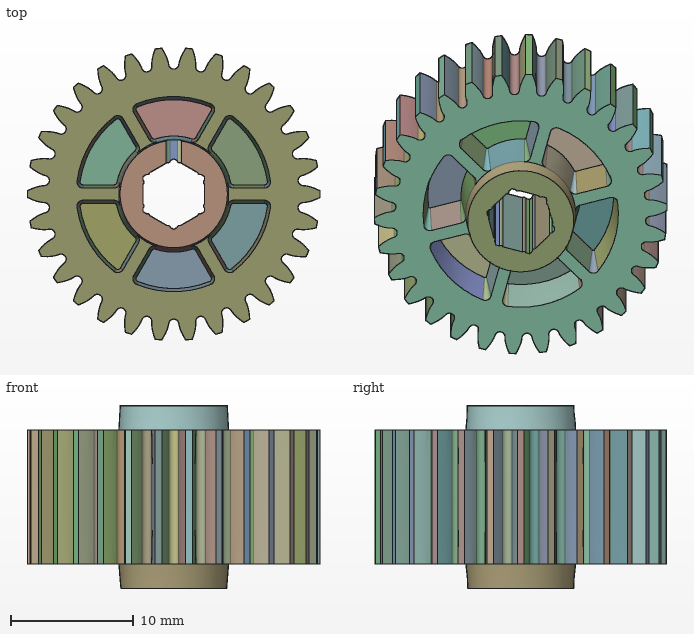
import cadquery as cq
import math

tooth_module = 0.75
tooth_count = 30
pressure_angle = math.radians(20)
dedendum_factor = 1.33
flank_point_count = 5

pitch_radius = tooth_module * tooth_count / 2
base_radius = pitch_radius * math.cos(pressure_angle)
tip_radius = pitch_radius + tooth_module
root_radius = pitch_radius - dedendum_factor * tooth_module
tooth_pitch_angle = 2 * math.pi / tooth_count

face_width = 11.0
hub_projection = 2.0
gear_top = face_width / 2
hub_top = gear_top + hub_projection

hub_radius = 4.5
upper_draft = 3.0
lower_draft = 4.5
pocket_outer_radius = 8.0
pocket_count = 6
pocket_corner_radius = 0.5
spoke_width = 1.0
web_thickness = 1.0
pocket_depth = (face_width - web_thickness) / 2

bore_across_flats = 5.0
bore_apothem = bore_across_flats / 2
bore_corner_radius = bore_apothem / math.cos(math.pi / 6)
bore_sides = 6
rib_corner_distance = 0.47
rib_width = 0.3
rib_height = 0.07

slot_width = 1.25
slot_depth = 1.05
slot_floor_radius = 0.3


def polar(radius, angle):
    return (radius * math.cos(angle), radius * math.sin(angle))


def involute(angle):
    return math.tan(angle) - angle


def half_tooth_angle(radius):
    """Angle from the tooth centre line to its flank at a given radius."""
    local_pressure_angle = math.acos(min(1.0, base_radius / radius))
    half_angle_at_pitch = tooth_pitch_angle / 4
    return half_angle_at_pitch + involute(pressure_angle) - involute(local_pressure_angle)


def flank(tooth_angle, side):
    """Points along one flank, from the base circle out to the tip; side is -1 or +1."""
    step = (tip_radius - base_radius) / (flank_point_count - 1)
    radii = [base_radius + i * step for i in range(flank_point_count)]
    return [polar(r, tooth_angle + side * half_tooth_angle(r)) for r in radii]


def make_gear_blank():
    outline = cq.Workplane("XY").workplane(offset=-gear_top).moveTo(*flank(0, -1)[0])
    for i in range(tooth_count):
        angle = i * tooth_pitch_angle
        rising = flank(angle, -1)
        falling = flank(angle, 1)[::-1]
        next_foot = flank(angle + tooth_pitch_angle, -1)[0]
        outline = (
            outline.spline(rising[1:], includeCurrent=True)
            .threePointArc(polar(tip_radius, angle), falling[0])
            .spline(falling[1:], includeCurrent=True)
            .threePointArc(polar(root_radius, angle + tooth_pitch_angle / 2), next_foot)
        )
    return outline.close().extrude(face_width)


def make_hub_end(draft):
    """Tapered hub end standing on the top face."""
    return (
        cq.Workplane("XY", origin=(0, 0, gear_top))
        .circle(hub_radius)
        .extrude(hub_projection, taper=draft)
    )


def make_pocket(draft):
    """Drafted pocket between two spokes, sunk from the top face and centred on +Y."""
    half_sector = math.pi / pocket_count
    spoke_edge = spoke_width / 2

    def corner(radius, side):
        angle = half_sector - math.asin(spoke_edge / radius)
        return polar(radius, math.pi / 2 + side * angle)

    outline = (
        cq.Workplane("XY")
        .moveTo(*corner(hub_radius, 1))
        .threePointArc((0, hub_radius), corner(hub_radius, -1))
        .lineTo(*corner(pocket_outer_radius, -1))
        .threePointArc((0, pocket_outer_radius), corner(pocket_outer_radius, 1))
        .close()
        .wire()
        .val()
    )
    rounded = outline.fillet2D(pocket_corner_radius, outline.Vertices())
    pocket = cq.Workplane("XY").add(rounded).toPending().extrude(-pocket_depth, taper=draft)
    return pocket.translate((0, 0, gear_top))


def cut_pockets(body):
    upper_pocket = make_pocket(upper_draft)
    lower_pocket = make_pocket(lower_draft).mirror("XY")
    for i in range(pocket_count):
        angle = i * 360 / pocket_count
        for pocket in (upper_pocket, lower_pocket):
            body = body.cut(pocket.rotate((0, 0, 0), (0, 0, 1), angle))
    return body


def make_bore():
    """Hexagonal prism with corners on the Y axis and a groove for each grip rib."""
    rib_centre = bore_corner_radius / 2 - rib_corner_distance
    bore = cq.Workplane("XY").workplane(offset=-hub_top).moveTo(
        *polar(bore_corner_radius, -math.pi / bore_sides)
    )
    for i in range(bore_sides):
        side_angle = 2 * math.pi * i / bore_sides

        def on_side(along, inward=0.0):
            x = bore_apothem - inward
            return (
                x * math.cos(side_angle) - along * math.sin(side_angle),
                x * math.sin(side_angle) + along * math.cos(side_angle),
            )

        for centre in (-rib_centre, rib_centre):
            bore = bore.lineTo(*on_side(centre - rib_width / 2)).threePointArc(
                on_side(centre, rib_height), on_side(centre + rib_width / 2)
            )
        bore = bore.lineTo(*on_side(bore_corner_radius / 2))
    return bore.close().extrude(2 * hub_top)


def make_slot():
    return (
        cq.Workplane("XY", origin=(0, hub_radius / 2, hub_top - slot_depth))
        .box(slot_width, hub_radius, slot_depth, centered=(True, True, False))
        .edges("|Y and <Z")
        .fillet(slot_floor_radius)
    )


body = cut_pockets(make_gear_blank())
body = body.union(make_hub_end(upper_draft))
body = body.union(make_hub_end(lower_draft).mirror("XY"))
result = body.cut(make_bore()).cut(make_slot())